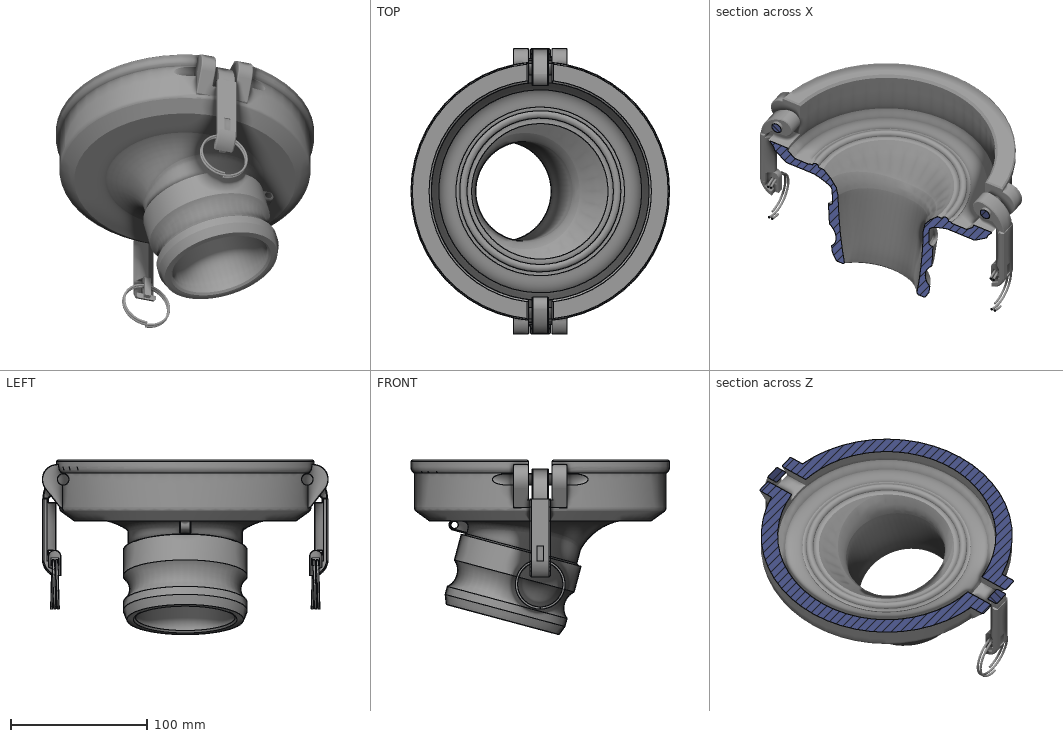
import cadquery as cq
import math

rim_diameter = 190.0
rim_radius = rim_diameter / 2
rim_depth = 5.0
rim_edge = 1.0
rim_round = 5.2
wall_radius = 92.5
wall_top = -9.7
wall_bottom = -34.9
belt_radius = 91.1
belt_bottom = -37.8
belt_round = 4.2
base_radius = 81.5
base_z = -44.7

bore_radius = 80.0
bore_edge = 1.7
bore_depth = 32.1
floor_radius = 74.5
floor_z = -36.8
seat_radius = 62.0
seat_height = 0.8
seat_z = floor_z + seat_height
bead_ring_radius = 56.5
bead_radius = 2.7

tilt = 15.0
collar_x = -14.0
collar_z = -66.4
neck_radius = 42.0
neck_overlap = 23.0
neck_bevel = 1.3
flare_fillet = 4.2
collar_radius = 45.5
collar_length = 19.5
groove_radius = 41.0
groove_end = 39.7
lip_end = 45.8
spigot_length = 52.7
spigot_end_radius = 42.8
spigot_bore_radius = 36.5
spigot_bore_chamfer = 1.5
throat_fillet = 20.0
funnel_radius = 49.8

flare_top_radius = 58.2
flare_mid_radius = 39.7
flare_mid_z = -53.5
flare_end_radius = 27.7
flare_end_z = -69.3

tab_x = -63.0
tab_z = -47.7
tab_radius = 4.0
tab_hole_diameter = 5.2
tab_width = 8.5
tab_edge = 0.8
tab_length = 16.8
tab_root_rise = 8.0

reach = 105.0
slot_width = 17.2
slot_edge = 1.0
slot_depth = 29.5
slot_length = 52.5
lug_width = 11.1
lug_radius = 11.0
lug_z = -14.3
lug_foot_y = 92.0
lug_foot_z = -34.9
lug_root_z = -37.0
lug_root_y = 85.0
lug_edge = 0.8
pin_y = 89.7
pin_z = lug_z
pin_radius = 4.2
pin_length = slot_width + 2 * lug_width
pin_bore_length = 75.5

cam_width = 12.2
cam_edge = 0.6
cam_radius = 7.8
cam_y = 85.5
cam_shoulder_y = 86.0
bend_z = -28.5
bend_y = 104.5
cam_under_y = 94.5
handle_width = 14.7
handle_thickness = 4.5
handle_inner_y = reach - handle_thickness
handle_bend = -74.1
handle_edge = 1.0
rib_top = -31.3
rib_depth = 5.5
rib_edge_width = 3.4
curl_mid = (103.5, -78.8)
curl_tip_y = 95.0
curl_bottom = -86.0
eye_plate_y = 91.4
eye_plate_top = -66.4
eye_plate_bottom = -85.0
eye_y = 95.8
eye_width = 5.5
eye_top = -72.0
eye_height = 5.5
recess_width = 4.8
recess_top = -63.2
recess_depth = 0.8

ring_radius = 17.5
ring_z = -91.4
ring_wire_radius = 0.8
ring_pitch = 2.5
ring_turns = 2


def on_spigot(shape):
    """Move a shape built around Z, with the collar top at the origin, onto the spigot axis."""
    return shape.rotate((0, 0, 0), (0, 1, 0), tilt).translate((collar_x, 0, collar_z))


def revolved(outline):
    """Close an outline drawn in the XZ plane and turn it round Z."""
    return outline.close().revolve(360, (0, 0, 0), (0, 1, 0))


def make_bowl():
    outline = (
        cq.Workplane("XZ")
        .moveTo(0, 0)
        .lineTo(rim_radius - rim_edge, 0)
        .lineTo(rim_radius, -rim_edge)
        .lineTo(rim_radius, -rim_depth)
        .radiusArc((wall_radius, wall_top), rim_round)
        .lineTo(wall_radius, wall_bottom)
        .radiusArc((belt_radius, belt_bottom), belt_round)
        .lineTo(base_radius, base_z)
        .lineTo(0, base_z)
    )
    return revolved(outline)


def make_bowl_cavity():
    outline = (
        cq.Workplane("XZ")
        .moveTo(0, 0)
        .lineTo(bore_radius + bore_edge, 0)
        .lineTo(bore_radius, -bore_edge)
        .lineTo(bore_radius, -bore_depth)
        .lineTo(floor_radius, floor_z)
        .lineTo(seat_radius, floor_z)
        .lineTo(seat_radius, seat_z)
        .lineTo(0, seat_z)
    )
    return revolved(outline)


def make_flare():
    """Trumpet-shaped transition under the base, concave towards the neck."""
    outline = (
        cq.Workplane("XZ")
        .moveTo(0, base_z)
        .lineTo(flare_top_radius, base_z)
        .threePointArc((flare_mid_radius, flare_mid_z), (flare_end_radius, flare_end_z))
        .lineTo(0, flare_end_z)
    )
    return revolved(outline)


def make_spigot():
    outline = (
        cq.Workplane("XZ")
        .moveTo(0, neck_overlap)
        .lineTo(neck_radius, neck_overlap)
        .lineTo(neck_radius, neck_bevel)
        .lineTo(neck_radius + neck_bevel, 0)
        .lineTo(collar_radius, 0)
        .lineTo(collar_radius, -collar_length)
        .threePointArc(
            (groove_radius, -(collar_length + groove_end) / 2), (collar_radius, -groove_end)
        )
        .lineTo(collar_radius, -lip_end)
        .lineTo(spigot_end_radius, -spigot_length)
        .lineTo(0, -spigot_length)
    )
    return on_spigot(revolved(outline))


def make_passage():
    """Funnel below the seat, running smoothly into the tilted bore of the spigot."""
    outline = (
        cq.Workplane("XZ")
        .moveTo(0, neck_overlap)
        .lineTo(spigot_bore_radius, neck_overlap)
        .lineTo(spigot_bore_radius, spigot_bore_chamfer - spigot_length)
        .lineTo(spigot_bore_radius + spigot_bore_chamfer, -spigot_length)
        .lineTo(0, -spigot_length)
    )
    bore = on_spigot(revolved(outline))
    cone_radius = wall_radius
    cone = cq.Workplane(cq.Solid.makeCone(0, cone_radius, cone_radius))
    cone = cone.translate((0, 0, seat_z - funnel_radius))
    passage = cone.union(bore).edges("%BSPLINE").fillet(throat_fillet)
    above_seat = cq.Workplane("XY", origin=(0, 0, seat_z)).circle(cone_radius).extrude(cone_radius)
    return passage.cut(above_seat)


def make_tab():
    """Small tilted ear between base and neck, still without its hole."""
    tab = (
        cq.Workplane("XZ", origin=(0, tab_width / 2, 0))
        .circle(tab_radius)
        .extrude(tab_width)
        .union(
            cq.Workplane("XZ", origin=(0, tab_width / 2, 0))
            .moveTo(0, -tab_radius)
            .lineTo(tab_length, -tab_radius)
            .lineTo(tab_length, tab_root_rise)
            .lineTo(0, tab_radius)
            .close()
            .extrude(tab_width)
        )
        .rotate((0, 0, 0), (0, 1, 0), tilt)
        .translate((tab_x, 0, tab_z))
    )
    return tab.faces("<Y or >Y").edges().chamfer(tab_edge)


def make_slot():
    """Radial slot through the +Y side of the wall, flared at the top."""
    half = slot_width / 2
    return (
        cq.Workplane("XZ", origin=(0, reach, 0))
        .moveTo(-half, -slot_depth)
        .lineTo(-half, -slot_edge)
        .lineTo(-half - slot_edge, 0)
        .lineTo(half + slot_edge, 0)
        .lineTo(half, -slot_edge)
        .lineTo(half, -slot_depth)
        .close()
        .extrude(slot_length)
    )


def make_lugs():
    """Pair of lugs on the +Y side: round heads with a straight flank down to the wall."""
    head_y = reach - lug_radius
    foot_dy = lug_foot_y - head_y
    foot_dz = lug_foot_z - lug_z
    foot_distance = math.hypot(foot_dy, foot_dz)
    touch_angle = math.atan2(foot_dz, foot_dy) + math.acos(lug_radius / foot_distance)
    touch = (
        head_y + lug_radius * math.cos(touch_angle),
        lug_z + lug_radius * math.sin(touch_angle),
    )
    return (
        cq.Workplane("YZ", origin=(-pin_length / 2, 0, 0))
        .moveTo(lug_root_y, lug_z + lug_radius)
        .lineTo(head_y, lug_z + lug_radius)
        .threePointArc((reach, lug_z), touch)
        .lineTo(lug_foot_y, lug_foot_z)
        .lineTo(lug_root_y, lug_root_z)
        .close()
        .extrude(pin_length)
        .cut(make_slot())
        .faces("|X")
        .edges("not |Y")
        .fillet(lug_edge)
    )


def make_pin(length):
    """Hinge pin on the +Y side, along X; also the shape of the bore it turns in."""
    return (
        cq.Workplane("YZ", origin=(-length / 2, 0, 0))
        .center(pin_y, pin_z)
        .circle(pin_radius)
        .extrude(length)
    )


def both_sides(shape):
    """The shape on the +Y side and its copy turned half round Z."""
    return [shape, shape.rotate((0, 0, 0), (0, 0, 1), 180)]


def make_housing():
    housing = make_bowl().union(make_flare()).union(make_spigot())
    housing = housing.edges("%BSPLINE").fillet(flare_fillet)
    housing = housing.union(make_tab())
    housing = housing.cut(make_bowl_cavity()).cut(make_passage())
    housing = housing.cut(
        cq.Workplane("XZ")
        .center(tab_x, tab_z)
        .circle(tab_hole_diameter / 2)
        .extrude(tab_width, both=True)
    )
    bead = cq.Workplane(cq.Solid.makeTorus(bead_ring_radius, bead_radius))
    housing = housing.union(bead.translate((0, 0, seat_z)))

    for slot in both_sides(make_slot()):
        housing = housing.cut(slot)
    for lugs in both_sides(make_lugs()):
        housing = housing.union(lugs)
    for pin_bore in both_sides(make_pin(pin_bore_length)):
        housing = housing.cut(pin_bore)
    return housing


def make_cam():
    """Cam nose reaching into the bowl, with an arm arching over and down to the handle."""
    bend_run = bend_y - cam_shoulder_y
    bend_drop = pin_z + cam_radius - bend_z
    bend_radius = (bend_run**2 + bend_drop**2) / (2 * bend_run)
    return (
        cq.Workplane("YZ", origin=(-cam_width / 2, 0, 0))
        .moveTo(cam_y, pin_z - cam_radius)
        .threePointArc((cam_y - cam_radius, pin_z), (cam_y, pin_z + cam_radius))
        .lineTo(cam_shoulder_y, pin_z + cam_radius)
        .radiusArc((bend_y, bend_z), bend_radius)
        .lineTo(handle_inner_y, bend_z)
        .lineTo(cam_under_y, pin_z - cam_radius)
        .close()
        .extrude(cam_width)
        .faces("<X or >X")
        .edges()
        .chamfer(cam_edge)
    )


def make_handle():
    """Flat plate with a tapered stiffening rib on its inner side."""
    plate = (
        cq.Workplane("XY")
        .box(handle_width, handle_thickness, bend_z - handle_bend, (True, False, False))
        .translate((0, handle_inner_y, handle_bend))
        .edges("|Z")
        .chamfer(handle_edge)
    )
    rib = (
        cq.Workplane("XY", origin=(0, 0, eye_plate_top))
        .moveTo(-handle_width / 2 + handle_edge, handle_inner_y)
        .lineTo(handle_width / 2 - handle_edge, handle_inner_y)
        .lineTo(rib_edge_width / 2, handle_inner_y - rib_depth)
        .lineTo(-rib_edge_width / 2, handle_inner_y - rib_depth)
        .close()
        .extrude(rib_top - eye_plate_top)
    )
    return plate.union(rib)


def make_curl():
    """Lower end of the handle, bent inwards."""
    return (
        cq.Workplane("YZ", origin=(-handle_width / 2, 0, 0))
        .moveTo(reach, handle_bend)
        .threePointArc(curl_mid, (curl_tip_y, curl_bottom))
        .lineTo(curl_tip_y, curl_bottom + handle_thickness)
        .lineTo(handle_inner_y, handle_bend - handle_thickness)
        .lineTo(handle_inner_y, handle_bend)
        .close()
        .extrude(handle_width)
        .faces("<X or >X")
        .edges("%CIRCLE")
        .chamfer(handle_edge)
    )


def make_eye_plate():
    """Narrow plate behind the lower end of the handle, which the ring hangs in."""
    top_radius = (handle_inner_y - eye_plate_y) / 2
    shoulder_z = eye_plate_top - top_radius
    return (
        cq.Workplane("YZ", origin=(-recess_width / 2, 0, 0))
        .moveTo(eye_plate_y, eye_plate_bottom)
        .lineTo(eye_plate_y, shoulder_z)
        .threePointArc(
            (eye_plate_y + top_radius, eye_plate_top), (eye_plate_y + 2 * top_radius, shoulder_z)
        )
        .lineTo(eye_plate_y + 2 * top_radius, eye_plate_bottom + handle_thickness)
        .lineTo(curl_tip_y, eye_plate_bottom)
        .close()
        .extrude(recess_width)
    )


def make_lever():
    """Lever on the +Y side, in one piece with its hinge pin."""
    recess = (
        cq.Workplane("XY")
        .box(recess_width, recess_depth, recess_top - handle_bend, (True, False, False))
        .translate((0, reach - recess_depth, handle_bend))
    )
    eye = (
        cq.Workplane("XY")
        .box(2 * handle_width, eye_width, eye_height)
        .translate((0, eye_y, eye_top - eye_height / 2))
    )
    lever = make_cam().union(make_pin(pin_length)).union(make_handle())
    lever = lever.union(make_curl()).union(make_eye_plate())
    return lever.cut(recess).cut(eye)


def make_ring():
    """Split ring: a wire coiled around an axis along Y, both ends at its lowest point."""
    height = ring_pitch * ring_turns
    path = cq.Workplane(cq.Wire.makeHelix(ring_pitch, height, ring_radius))
    coil = (
        cq.Workplane("XZ", origin=(ring_radius, 0, 0))
        .circle(ring_wire_radius)
        .sweep(path, isFrenet=True)
    )
    return (
        coil.translate((0, 0, -height / 2))
        .rotate((0, 0, 0), (0, 0, 1), 90)
        .rotate((0, 0, 0), (1, 0, 0), -90)
        .translate((0, eye_y, ring_z))
    )


housing = make_housing()
levers = both_sides(make_lever())
rings = both_sides(make_ring())

result = cq.Compound.makeCompound(
    [housing.val()] + [lever.val() for lever in levers] + [ring.val() for ring in rings]
)